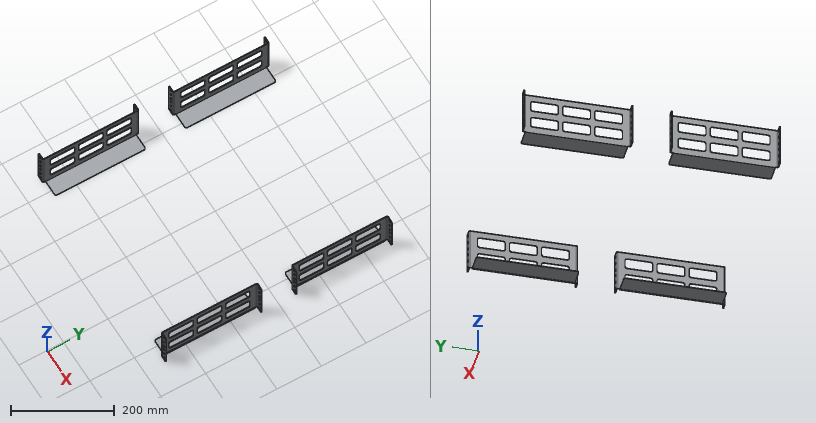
import cadquery as cq

OVERALL_X = 480.77
OVERALL_Y = 508.0
BRACKET_LENGTH = 215.9

SHEET = 1.83
INNER_BEND = 1.5
OUTER_BEND = INNER_BEND + SHEET

RACK_UNIT = 44.45
RACK_UNITS = 2

CHANNEL_HEIGHT = RACK_UNITS * RACK_UNIT
EAR_REACH = 17.78
EAR_CORNER = 4.0

UNIT_HOLE_HEIGHTS = (6.35, 22.225, 38.1)
HOLE_DIAMETER = 4.5
HOLE_EDGE_DISTANCE = 7.8

WINDOW_COLUMNS = 3
WINDOW_ROWS = 2
WINDOW_LENGTH = 54.8
WINDOW_HEIGHT = 22.86
WINDOW_PITCH_Y = 63.5
WINDOW_PITCH_Z = 38.1
WINDOW_CORNER = 4.5
WINDOW_CENTRE_Z = 46.3

SHELF_LENGTH = 203.2
SHELF_WIDTH = 38.1
SHELF_CORNER = 4.0

WEB_OUTER_X = EAR_REACH - SHEET
CHANNEL_TOP = SHEET + CHANNEL_HEIGHT
HALF_LENGTH = BRACKET_LENGTH / 2


def make_channel():
    """Bent channel: the web and its two ears, in one sheet thickness."""
    block = (
        cq.Workplane("XY", origin=(0, 0, SHEET))
        .rect(2 * EAR_REACH, BRACKET_LENGTH)
        .extrude(CHANNEL_HEIGHT)
        .edges("|Z and >X")
        .fillet(OUTER_BEND)
    )
    cavity = (
        cq.Workplane("XY", origin=(0, 0, SHEET))
        .rect(2 * WEB_OUTER_X, BRACKET_LENGTH - 2 * SHEET)
        .extrude(CHANNEL_HEIGHT)
        .edges("|Z and >X")
        .fillet(INNER_BEND)
    )
    outward_half = cq.Workplane("XY").box(
        EAR_REACH, BRACKET_LENGTH, CHANNEL_TOP, centered=(False, True, False)
    )
    channel = block.cut(cavity).intersect(outward_half)
    return channel.faces("<X").edges("|Y").fillet(EAR_CORNER)


def make_shelf():
    """Flat shelf with its two free corners rounded."""
    return (
        cq.Workplane("XY")
        .box(SHELF_WIDTH, SHELF_LENGTH, SHEET, centered=(False, True, False))
        .edges("|Z and >X")
        .fillet(SHELF_CORNER)
        .translate((WEB_OUTER_X, 0, 0))
    )


def make_windows():
    """Cutters for the grid of rounded windows through the web."""
    return (
        cq.Workplane("YZ", origin=(WEB_OUTER_X, 0, WINDOW_CENTRE_Z))
        .rarray(WINDOW_PITCH_Y, WINDOW_PITCH_Z, WINDOW_COLUMNS, WINDOW_ROWS)
        .rect(WINDOW_LENGTH, WINDOW_HEIGHT)
        .extrude(SHEET)
        .edges("|X")
        .fillet(WINDOW_CORNER)
    )


def make_ear_holes():
    """Cutters for the rack holes, each running through both ears."""
    hole_points = [
        (HOLE_EDGE_DISTANCE, SHEET + unit * RACK_UNIT + height)
        for unit in range(RACK_UNITS)
        for height in UNIT_HOLE_HEIGHTS
    ]
    return (
        cq.Workplane("XZ")
        .pushPoints(hole_points)
        .circle(HOLE_DIAMETER / 2)
        .extrude(HALF_LENGTH, both=True)
    )


def make_bracket():
    """One complete bracket with its shelf pointing toward +X."""
    return make_channel().union(make_shelf()).cut(make_windows()).cut(make_ear_holes())


def place_brackets():
    """Two brackets on each side, with all shelves facing the middle."""
    left = make_bracket().translate((-OVERALL_X / 2, 0, 0))
    right = left.mirror("YZ")
    offset_y = (OVERALL_Y - BRACKET_LENGTH) / 2
    return [
        side.translate((0, direction * offset_y, 0))
        for side in (left, right)
        for direction in (-1, 1)
    ]


brackets = place_brackets()
result = cq.Compound.makeCompound([bracket.val() for bracket in brackets])